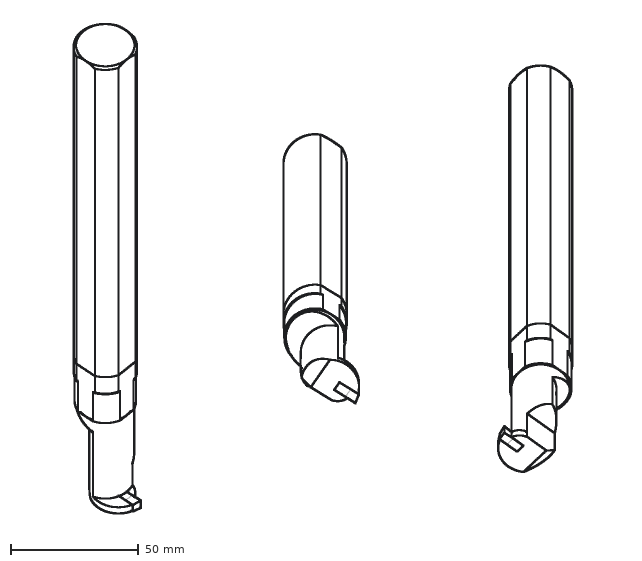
import cadquery as cq
import math


bar_top = 250.98
shank_bottom = 74.4
collar_bottom = 64.6
head_step = 47.8
neck_top = 40.6
hook_top = 4.0
hook_bottom = 0.4

shank_diameter = 25.0
head_diameter = 24.3
neck_diameter = 23.0
across_flats = 23.0
shank_chamfer = 1.0

hook_axis_x = 7.0
hook_radius = neck_diameter / 2
shoulder_angle = 45.0
heel_chamfer = 5.2

clearance_y = 4.2
clearance_floor_top = 16.2
clearance_slope_top = 22.6

rake_y = 0.0
support_end_x = 15.3
support_mid_point = (13.7, 2.5)
support_start_x = 8.0

tip_reach = 18.99
insert_inner_x = 9.0
insert_neck_x = 14.3
insert_depth = 3.8
insert_front_relief = 0.8

cut_margin = 20.0

flat_distance = across_flats / 2


def cylinder(diameter, bottom, top):
    return cq.Workplane("XY").workplane(offset=bottom).circle(diameter / 2).extrude(top - bottom)


def with_flats(body):
    """Trim a round bar with flats on +X, +Y and -Y."""
    trim = cq.Workplane("XY").box(
        shank_diameter + flat_distance, across_flats, bar_top, centered=(False, True, False)
    )
    return body.intersect(trim.translate((-shank_diameter, 0, 0)))


def make_shank():
    bar = cylinder(shank_diameter, shank_bottom, bar_top)
    return with_flats(bar.faces(">Z").chamfer(shank_chamfer))


def eccentric_envelope():
    """Hook cylinder opening into a cone at the neck's upper end."""
    cone_height = collar_bottom - neck_top
    cone_radius = hook_radius + cone_height * math.tan(math.radians(shoulder_angle))
    profile = [
        (0, hook_bottom),
        (hook_radius, hook_bottom),
        (hook_radius, neck_top),
        (cone_radius, collar_bottom),
        (cone_radius, shank_bottom),
        (0, shank_bottom),
    ]
    turned = cq.Workplane("XZ").polyline(profile).close().revolve(360, (0, 0, 0), (0, 1, 0))
    return turned.translate((hook_axis_x, 0, 0))


def hook_plate():
    """Hook disc with its +Y side cut back to the rake face and the rounded insert support."""
    disc = (
        cq.Workplane("XY")
        .workplane(offset=hook_bottom)
        .center(hook_axis_x, 0)
        .circle(hook_radius)
        .extrude(hook_top - hook_bottom)
    )
    rake_clearance = (
        cq.Workplane("XY")
        .moveTo(support_start_x, clearance_y)
        .threePointArc(support_mid_point, (support_end_x, rake_y))
        .lineTo(tip_reach, rake_y)
        .lineTo(tip_reach, hook_radius)
        .lineTo(support_start_x, hook_radius)
        .close()
        .extrude(hook_top)
    )
    return disc.cut(rake_clearance)


def chip_clearance():
    """Pocket over the rake side, closed at the top by a slope."""
    outer_y = flat_distance
    profile = [
        (clearance_y, 0),
        (clearance_y, clearance_floor_top),
        (outer_y, clearance_slope_top),
        (outer_y, 0),
    ]
    return cq.Workplane("YZ").polyline(profile).close().extrude(cut_margin, both=True)


def heel_wedge():
    """Bevel at the lower -X corner of the neck."""
    heel_x = hook_axis_x - hook_radius
    profile = [
        (heel_x, hook_bottom),
        (heel_x + heel_chamfer, hook_bottom),
        (heel_x, hook_bottom + heel_chamfer),
    ]
    return cq.Workplane("XZ").polyline(profile).close().extrude(cut_margin, both=True)


def blade_profile(reach, edge_bottom, edge_top):
    """Side outline of the insert: parallel at the seat, then straight to the cutting edge."""
    return [
        (insert_inner_x, hook_bottom),
        (insert_neck_x, hook_bottom),
        (reach, edge_bottom),
        (reach, edge_top),
        (insert_neck_x, hook_top),
        (insert_inner_x, hook_top),
    ]


def make_insert():
    """Blade that widens to the cutting edge and is relieved from the rake face to the seat."""
    rake_profile = blade_profile(tip_reach, 0, hook_top + hook_bottom)
    seat_profile = blade_profile(tip_reach - insert_front_relief, hook_bottom, hook_top)
    return (
        cq.Workplane("XZ", origin=(0, rake_y, 0))
        .polyline(rake_profile)
        .close()
        .workplane(offset=insert_depth)
        .polyline(seat_profile)
        .close()
        .loft(ruled=True)
    )


def insert_seat():
    """Slot through the hook that is open towards the tip."""
    seat = cq.Workplane("XY").box(
        tip_reach - insert_inner_x, insert_depth, hook_top - hook_bottom, centered=False
    )
    return seat.translate((insert_inner_x, rake_y - insert_depth, hook_bottom))


def make_head():
    collar = with_flats(cylinder(shank_diameter, collar_bottom, shank_bottom))
    lower_collar = with_flats(cylinder(head_diameter, head_step, collar_bottom))
    neck = cylinder(neck_diameter, hook_bottom, head_step)
    stem = collar.union(lower_collar).union(neck).intersect(eccentric_envelope())
    head = stem.union(hook_plate())
    return head.cut(chip_clearance()).cut(heel_wedge()).cut(insert_seat())


shank = make_shank()
head = make_head()
insert = make_insert()

result = cq.Compound.makeCompound([shank.solids().val(), head.solids().val(), insert.solids().val()])